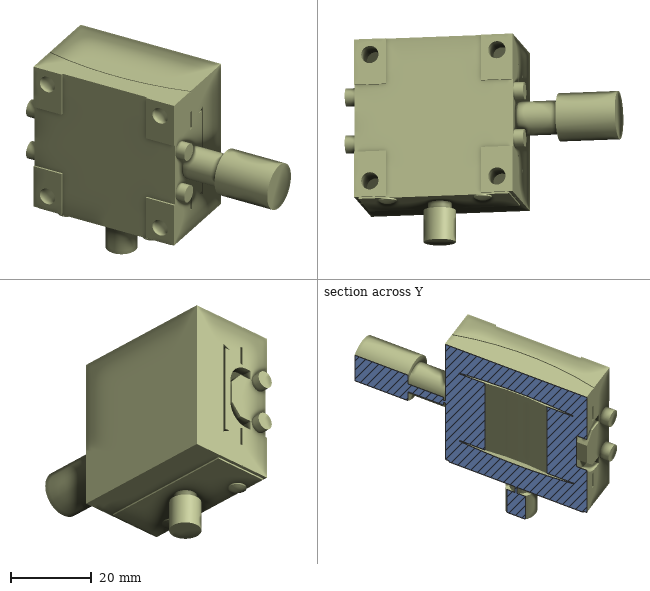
import cadquery as cq
import math

BODY_SIZE = 40.0
BODY_DEPTH = 24.0
HALF = BODY_SIZE / 2
FRONT_Y = -BODY_DEPTH / 2

PAD_HEIGHT = 0.5
PAD_WIDTH = 8.0
POCKET_HALF = 8.5

POCKET_DEPTH = 12.5
POCKET_LENGTH = 2.85
BLOCK_PLATE_DEPTH = 5.6
BLOCK_NECK_HALF = 6.0
BLOCK_SHOULDER_DEPTH = 9.0
BLOCK_TIP_DEPTH = 11.9
BLOCK_TIP_HALF = 3.0
POCKET_RADIUS = POCKET_HALF - BLOCK_TIP_HALF

ARC_MID_DEPTH = 6.0
ARC_EDGE_DEPTH = 8.4
ARC_SAG = ARC_EDGE_DEPTH - ARC_MID_DEPTH
ARC_RADIUS = (HALF ** 2 + ARC_SAG ** 2) / (2 * ARC_SAG)
TILT_AXIS_Y = FRONT_Y + ARC_MID_DEPTH + ARC_RADIUS
SEAM_WIDTH = 0.3
SEAM_DEPTH = 0.3
GAP_WIDTH = 0.7
GAP_INNER_Z = 9.0
GAP_END_SLOPE = 0.3
GAP_OUTER_Z = 14.05

DOVETAIL_DEPTH = 14.8
DOVETAIL_WIDTH = 0.7
DOVETAIL_HOOK = 2.05
DOVETAIL_OUTER_Z = 12.6
DOVETAIL_INNER_Z = 11.6

HOLE_DIAMETER = 4.35
HOLE_OFFSET = 16.0

SCREW_DIAMETER = 4.5
SCREW_DEPTH = 3.0
SCREW_OFFSET_Z = 6.0
SCREW_HEIGHT = 2.5

MICROMETER_DEPTH = 8.0
COLLAR_DIAMETER = 8.0
COLLAR_LENGTH = 0.4
SLEEVE_DIAMETER = 8.5
SLEEVE_LENGTH = 10.0
THIMBLE_DIAMETER = 12.0
OVERALL_LENGTH = 67.9
THIMBLE_END_X = OVERALL_LENGTH - HALF - SCREW_HEIGHT

COVER_WIDTH = 38.0
COVER_THICKNESS = 0.4
COVER_BACK_DEPTH = 15.7
BUTTON_RADIUS = 2.25
BUTTON_RIM = 0.35
DOME_HEIGHT = 0.75
BUTTON_OFFSET_X = 12.0
BUTTON_DEPTH = 2.6
KNOB_DEPTH = 9.0
KNOB_NECK_DIAMETER = 6.0
KNOB_NECK_LENGTH = 2.25
KNOB_DIAMETER = 8.0
OVERALL_HEIGHT = 50.3
KNOB_LENGTH = OVERALL_HEIGHT - BODY_SIZE - KNOB_NECK_LENGTH


def y_at(depth):
    """Y position at a given depth behind the pad faces."""
    return FRONT_Y + depth


def edge_radius(depth):
    """Distance from the tilt axis to a point on the side face at this depth."""
    return math.hypot(HALF, TILT_AXIS_Y - y_at(depth))


def box(x_range, y_range, z_range):
    """Box spanning the given (low, high) ranges."""
    sizes = [high - low for low, high in (x_range, y_range, z_range)]
    corner = (x_range[0], y_range[0], z_range[0])
    return cq.Workplane("XY").box(*sizes, centered=False).translate(corner)


def rod_x(diameter, start_x, length, depth, z):
    """Cylinder along +X."""
    plane = cq.Workplane("YZ", origin=(start_x, y_at(depth), z))
    return plane.circle(diameter / 2).extrude(length)


def rod_down(diameter, start_z, length, x, depth):
    """Cylinder hanging along -Z."""
    plane = cq.Workplane("XY", origin=(x, y_at(depth), start_z))
    return plane.circle(diameter / 2).extrude(-length)


def tilt_ring(points):
    """Revolve a closed (radius, z) outline about the tilt axis."""
    plane = cq.Workplane("XZ", origin=(0, TILT_AXIS_Y, 0))
    return plane.polyline(points).close().revolve(360, (0, 0, 0), (0, 1, 0))


def make_body():
    body = cq.Workplane("XY").box(BODY_SIZE, BODY_DEPTH, BODY_SIZE)
    recess_y = (FRONT_Y, y_at(PAD_HEIGHT))
    pad_inner_x = HALF - PAD_WIDTH
    body = body.cut(box((-pad_inner_x, pad_inner_x), recess_y, (-HALF, HALF)))
    return body.cut(box((-HALF, HALF), recess_y, (-POCKET_HALF, POCKET_HALF)))


def make_pocket():
    x_range = (-HALF, -HALF + POCKET_LENGTH)
    pocket = box(x_range, (FRONT_Y, y_at(POCKET_DEPTH)), (-POCKET_HALF, POCKET_HALF))
    return pocket.edges("|X and >Y").fillet(POCKET_RADIUS)


def make_drive_block():
    upper = [
        (y_at(PAD_HEIGHT), POCKET_HALF),
        (y_at(BLOCK_PLATE_DEPTH), POCKET_HALF),
        (y_at(BLOCK_PLATE_DEPTH), BLOCK_NECK_HALF),
        (y_at(BLOCK_SHOULDER_DEPTH), BLOCK_NECK_HALF),
        (y_at(BLOCK_TIP_DEPTH), BLOCK_TIP_HALF),
    ]
    lower = [(y, -z) for y, z in reversed(upper)]
    plane = cq.Workplane("YZ", origin=(-HALF, 0, 0))
    return plane.polyline(upper + lower).close().extrude(POCKET_LENGTH)


def cut_cradle_gaps(body):
    outer = ARC_RADIUS
    inner = edge_radius(ARC_EDGE_DEPTH + GAP_WIDTH)
    seam_outer = ARC_RADIUS + SEAM_WIDTH
    seam_floor = HALF - SEAM_DEPTH
    for side in (1, -1):
        gap = [
            (inner, GAP_INNER_Z + GAP_END_SLOPE),
            (outer, GAP_INNER_Z),
            (outer, GAP_OUTER_Z),
            (inner, GAP_OUTER_Z),
        ]
        seam = [(outer, seam_floor), (seam_outer, seam_floor), (seam_outer, HALF), (outer, HALF)]
        for outline in (gap, seam):
            body = body.cut(tilt_ring([(r, side * z) for r, z in outline]))
    return body


def cut_dovetail(body):
    back = edge_radius(DOVETAIL_DEPTH)
    front = edge_radius(DOVETAIL_DEPTH - DOVETAIL_WIDTH)
    hook = edge_radius(DOVETAIL_DEPTH - DOVETAIL_HOOK)
    upper = [(back, DOVETAIL_OUTER_Z), (hook, DOVETAIL_INNER_Z), (front, DOVETAIL_INNER_Z)]
    lower = [(r, -z) for r, z in reversed(upper)]
    return body.cut(tilt_ring(upper + lower))


def make_mounting_holes():
    """Holes running from the pads back to the cradle arc."""
    centres = [(x, z) for x in (-HOLE_OFFSET, HOLE_OFFSET) for z in (-HOLE_OFFSET, HOLE_OFFSET)]
    plane = cq.Workplane("XZ", origin=(0, FRONT_Y, 0))
    drills = plane.pushPoints(centres).circle(HOLE_DIAMETER / 2).extrude(-ARC_EDGE_DEPTH)
    cradle = cq.Workplane("XY", origin=(0, TILT_AXIS_Y, -HALF)).circle(ARC_RADIUS).extrude(BODY_SIZE)
    return drills.cut(cradle)


def add_side_screws(part):
    for z in (-SCREW_OFFSET_Z, SCREW_OFFSET_Z):
        part = part.union(rod_x(SCREW_DIAMETER, -HALF, -SCREW_HEIGHT, SCREW_DEPTH, z))
        part = part.union(rod_x(SCREW_DIAMETER, HALF, SCREW_HEIGHT, SCREW_DEPTH, z))
    return part


def add_micrometer(part):
    sleeve_x = HALF + COLLAR_LENGTH
    thimble_x = sleeve_x + SLEEVE_LENGTH
    thimble_length = THIMBLE_END_X - thimble_x
    part = part.union(rod_x(COLLAR_DIAMETER, HALF, COLLAR_LENGTH, MICROMETER_DEPTH, 0))
    part = part.union(rod_x(SLEEVE_DIAMETER, sleeve_x, SLEEVE_LENGTH, MICROMETER_DEPTH, 0))
    return part.union(rod_x(THIMBLE_DIAMETER, thimble_x, thimble_length, MICROMETER_DEPTH, 0))


def make_button_screw(x):
    """Domed screw head hanging below the cover plate."""
    dome_radius = (BUTTON_RADIUS ** 2 + DOME_HEIGHT ** 2) / (2 * DOME_HEIGHT)
    mid_x = BUTTON_RADIUS / 2
    mid_drop = dome_radius - math.sqrt(dome_radius ** 2 - mid_x ** 2)
    tip_z = -BUTTON_RIM - DOME_HEIGHT
    profile = (
        cq.Workplane("XZ")
        .lineTo(BUTTON_RADIUS, 0)
        .lineTo(BUTTON_RADIUS, -BUTTON_RIM)
        .threePointArc((mid_x, tip_z + mid_drop), (0, tip_z))
        .close()
    )
    head = profile.revolve(360, (0, 0, 0), (0, 1, 0))
    return head.translate((x, y_at(BUTTON_DEPTH), -HALF - COVER_THICKNESS))


def add_underside(part):
    half_cover = COVER_WIDTH / 2
    cover_y = (y_at(PAD_HEIGHT), y_at(COVER_BACK_DEPTH))
    part = part.union(box((-half_cover, half_cover), cover_y, (-HALF - COVER_THICKNESS, -HALF)))
    for x in (-BUTTON_OFFSET_X, BUTTON_OFFSET_X):
        part = part.union(make_button_screw(x))
    part = part.union(rod_down(KNOB_NECK_DIAMETER, -HALF, KNOB_NECK_LENGTH, 0, KNOB_DEPTH))
    return part.union(rod_down(KNOB_DIAMETER, -HALF - KNOB_NECK_LENGTH, KNOB_LENGTH, 0, KNOB_DEPTH))


stage = make_body().cut(make_pocket())
stage = cut_cradle_gaps(stage)
stage = cut_dovetail(stage)
stage = stage.cut(make_mounting_holes())
stage = stage.union(make_drive_block())
stage = add_side_screws(stage)
stage = add_micrometer(stage)
result = add_underside(stage)